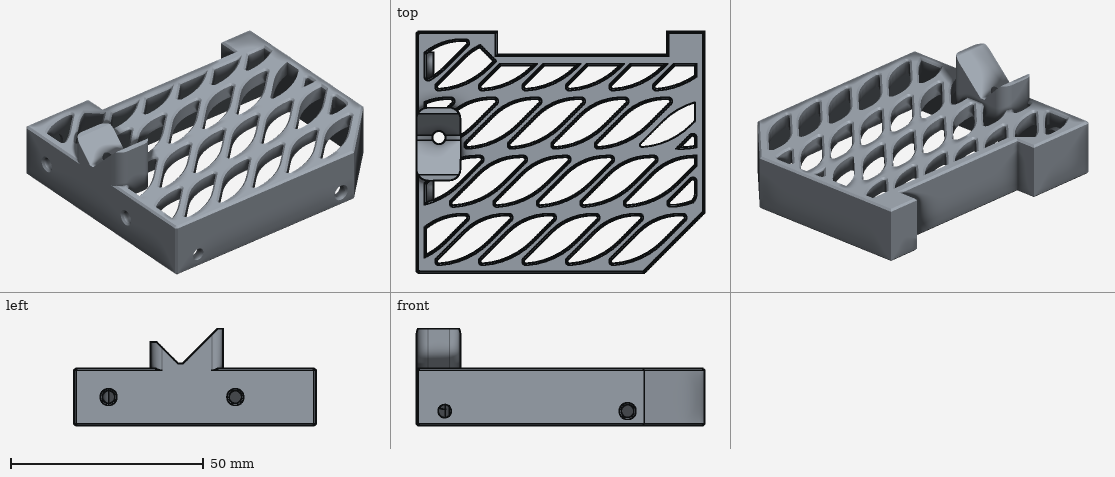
import cadquery as cq
import math

length = 75.0
depth = 63.0
tray_height = 15.0
plate_thickness = 4.0
wall = 2.55
edge_chamfer = 0.5
corner_cut = 15.75
notch_left = 21.1
notch_right = 65.2
notch_floor = 57.0
back_wall = 3.0
plate_bottom = tray_height - plate_thickness

back_inside = notch_floor - back_wall
pocket_end_x = 21.3
rib_foot_x = 8.55
pocket_reach = (pocket_end_x - rib_foot_x) / 2

leaf_length = 20.7
leaf_height = 12.45
upper_radius = 15.0
lower_radius = (leaf_length - leaf_height) / (math.sqrt(2) - 1)
leaf_tip_radius = 0.5
leaf_pitch = 11.3
row_rise = 15.15
row_shift = leaf_pitch / 3
first_leaf_x = 4.6
first_leaf_y = 2.55
window_chamfer = 0.5
row_spans = [(-1, 4), (-1, 5), (-2, 5), (-1, 5)]
plain_leaf = (2, 4)
deep_leaf = (3, -1)
short_leaf = (1, 5)
sharp_leaf = (2, 5)
short_leaf_floor = 17.85
short_leaf_radius = 3.0

hole_diameter = 3.3
plain_hole_diameter = 3.4
hole_mouth_chamfer = 0.5
left_hole_y = [21.0, 54.0]
left_hole_z = 7.5
plain_hole_x = 7.35
front_hole_x = 55.0
front_hole_z = 3.8
recess_diameter = 6.4
recess_z = 7.5
recess_floor_y = 61.5
recess_depth = 3.0
boss_diameter = 7.2
boss_length = 1.95

block_width = 11.5
block_front = 24.15
block_back = 43.1
block_corner_radius = 3.0
block_top = 25.3
block_back_top = 21.8
vee_y = 35.3
vee_floor_width = 1.3
vee_floor_z = 16.3
vee_hole_diameter = 3.4
vee_hole_x = 5.85


def prism(points, bottom, top):
    return cq.Workplane("XY").workplane(offset=bottom).polyline(points).close().extrude(top - bottom)


def tray_blank():
    outline = [
        (0, 0),
        (length - corner_cut, 0),
        (length, corner_cut),
        (length, depth),
        (notch_right, depth),
        (notch_right, notch_floor),
        (notch_left, notch_floor),
        (notch_left, depth),
        (0, depth),
    ]
    blank = prism(outline, 0, tray_height)
    blank = blank.edges("|Z and <X").chamfer(edge_chamfer)
    return blank.faces("<Z or >Z").edges().chamfer(edge_chamfer)


slant_inset = wall * math.tan(math.pi / 8)
cavity_outline = [
    (wall, wall),
    (length - corner_cut - slant_inset, wall),
    (length - wall, corner_cut + slant_inset),
    (length - wall, back_inside),
    (pocket_end_x, back_inside),
    (pocket_end_x - pocket_reach, back_inside + pocket_reach),
    (rib_foot_x, back_inside),
    (wall, back_inside),
]


def leaf_side(radius):
    """Offsets from the lower left tip along one side: a 45 degree edge, then an arc that ends level."""
    straight = leaf_height - radius * (1 - math.cos(math.pi / 4))
    arc_end = straight + radius * math.sin(math.pi / 4)
    arc_middle = (
        arc_end - radius * math.sin(math.pi / 8),
        leaf_height - radius * (1 - math.cos(math.pi / 8)),
    )
    return (straight, straight), arc_middle, (arc_end, leaf_height)


def leaf(row, number):
    """A pointed leaf with a 45 degree edge and an arc on each side."""
    shift = row_shift * row
    if row == len(row_spans) - 1:
        shift -= leaf_pitch
    x = first_leaf_x + shift + leaf_pitch * number
    y = first_leaf_y + row_rise * row
    tip = (x + leaf_length, y + leaf_height)
    symmetric = (row, number) == plain_leaf
    upper = leaf_side(lower_radius if symmetric else upper_radius)
    lower = leaf_side(lower_radius)
    up_edge, up_middle, up_end = [(x + dx, y + dy) for dx, dy in upper]
    low_edge, low_middle, _ = [(tip[0] - dx, tip[1] - dy) for dx, dy in lower]
    outline = cq.Workplane("XY").moveTo(x, y).lineTo(*up_edge)
    if symmetric:
        outline = outline.threePointArc(up_middle, tip)
    else:
        outline = outline.threePointArc(up_middle, up_end).lineTo(*tip)
    outline = outline.lineTo(*low_edge).threePointArc(low_middle, (x, y)).close()
    sharp = outline.extrude(tray_height)
    if (row, number) == sharp_leaf:
        return sharp
    return sharp.edges("(|Z and <X) or (|Z and >X)").fillet(leaf_tip_radius)


def window(row, number):
    """A leaf trimmed to the space inside the walls."""
    if (row, number) == deep_leaf:
        inside_left = prism([(wall, 0), (length, 0), (length, depth), (wall, depth)], 0, tray_height)
        deep = leaf(row, number).intersect(inside_left)
        return deep.edges("|Z and <Y").fillet(leaf_tip_radius)
    trimmed = leaf(row, number).intersect(prism(cavity_outline, 0, tray_height))
    if (row, number) == short_leaf:
        corner = (
            cq.Workplane("XY")
            .box(length - wall, depth, tray_height, centered=False)
            .translate((0, short_leaf_floor, 0))
            .edges("|Z and >X and <Y")
            .fillet(short_leaf_radius)
        )
        trimmed = trimmed.intersect(corner)
    if (row, number) in (sharp_leaf, short_leaf):
        return trimmed.edges("|Z and >Y").fillet(leaf_tip_radius)
    return trimmed


def cut_windows(body):
    for row, (first, last) in enumerate(row_spans):
        for number in range(first, last + 1):
            if (row, number) != plain_leaf:
                body = body.cut(window(row, number))
    rims = [edge for wire in body.faces(">Z").val().innerWires() for edge in wire.Edges()]
    body = body.newObject(rims).chamfer(window_chamfer)
    return body.cut(window(*plain_leaf))


def rod(start, direction, diameter, rod_length):
    return cq.Workplane(
        cq.Solid.makeCylinder(diameter / 2, rod_length, cq.Vector(*start), cq.Vector(*direction))
    )


def chamfered_hole(start, direction, hole_length):
    mouth = cq.Workplane(
        cq.Solid.makeCone(
            hole_diameter / 2 + hole_mouth_chamfer,
            hole_diameter / 2,
            hole_mouth_chamfer,
            cq.Vector(*start),
            cq.Vector(*direction),
        )
    )
    return rod(start, direction, hole_diameter, hole_length).union(mouth)


def vee_block():
    half_floor = vee_floor_width / 2
    front_rise = block_top - vee_floor_z
    back_rise = block_back_top - vee_floor_z
    profile = [
        (block_front, plate_bottom),
        (block_front, block_top),
        (vee_y - half_floor - front_rise, block_top),
        (vee_y - half_floor, vee_floor_z),
        (vee_y + half_floor, vee_floor_z),
        (vee_y + half_floor + back_rise, block_back_top),
        (block_back, block_back_top),
        (block_back, plate_bottom),
    ]
    block = cq.Workplane("YZ").polyline(profile).close().extrude(block_width)
    footprint = (
        cq.Workplane("XY")
        .box(block_width, block_back - block_front, block_top, centered=False)
        .translate((0, block_front, 0))
        .edges("|Z")
        .fillet(block_corner_radius)
    )
    return block.intersect(footprint)


tray = tray_blank().cut(prism(cavity_outline, 0, plate_bottom))
tray = cut_windows(tray)

for y in left_hole_y:
    tray = tray.union(rod((wall / 2, y, left_hole_z), (1, 0, 0), boss_diameter, wall / 2 + boss_length))
    tray = tray.cut(chamfered_hole((0, y, left_hole_z), (1, 0, 0), wall + boss_length))
tray = tray.cut(rod((plain_hole_x, 0, front_hole_z), (0, 1, 0), plain_hole_diameter, wall))
recess_floor = (plain_hole_x, recess_floor_y, recess_z)
tray = tray.cut(rod(recess_floor, (0, -1, 0), recess_diameter, recess_depth))
tray = tray.cut(chamfered_hole((front_hole_x, 0, front_hole_z), (0, 1, 0), wall))

tray = tray.union(vee_block())
vee_hole = rod((vee_hole_x, vee_y, 0), (0, 0, 1), vee_hole_diameter, block_top)
result = tray.cut(vee_hole)